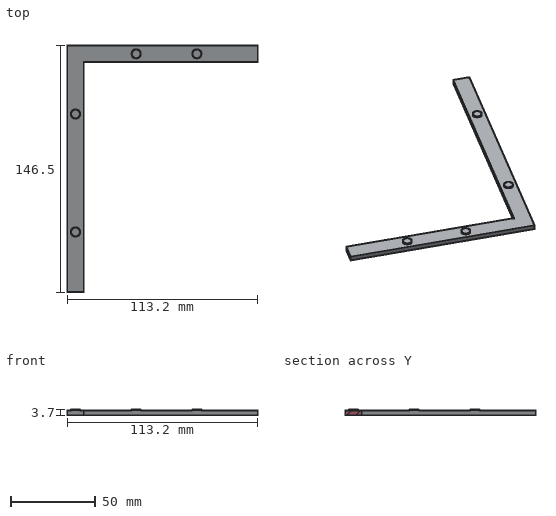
import cadquery as cq

length_x = 113.2
length_y = 146.5
total_height = 3.7
arm_width = 10.0
plate_thickness = 3.0

stud_diameter = 5.5
stud_height = total_height - plate_thickness
stud_chamfer = 0.22

arm_middle = arm_width / 2
short_arm_studs = [41.0, 77.0]
long_arm_studs = [40.7, 110.8]


def make_plate():
    """L-shaped plate with its outer corner at the origin, arms along +X and -Y."""
    outline = [
        (0, 0),
        (length_x, 0),
        (length_x, -arm_width),
        (arm_width, -arm_width),
        (arm_width, -length_y),
        (0, -length_y),
    ]
    return cq.Workplane("XY").polyline(outline).close().extrude(plate_thickness)


def add_studs(plate):
    """Studs along the centre line of each arm."""
    places = [(x, -arm_middle) for x in short_arm_studs]
    places += [(arm_middle, -y) for y in long_arm_studs]
    studs = (
        cq.Workplane("XY", origin=(0, 0, plate_thickness))
        .pushPoints(places)
        .circle(stud_diameter / 2)
        .extrude(stud_height)
        .faces(">Z")
        .edges()
        .chamfer(stud_chamfer)
    )
    return plate.union(studs)


result = add_studs(make_plate())